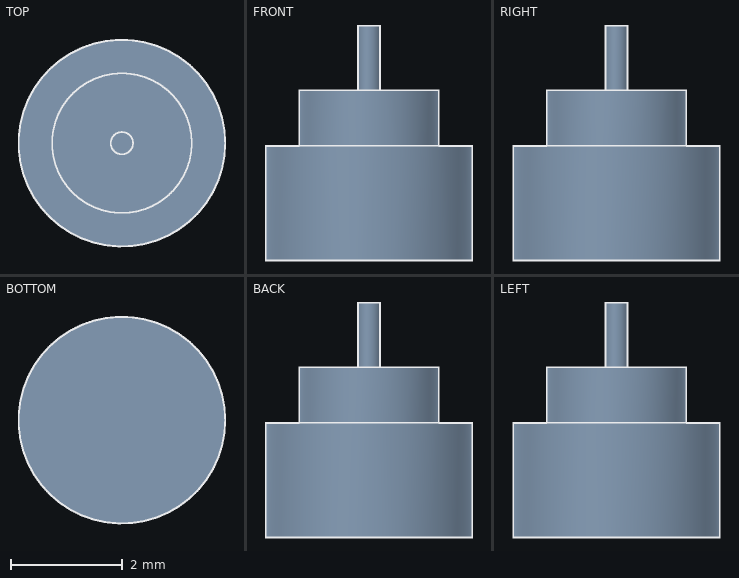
import cadquery as cq

total_height = 4.2
base_diameter = 3.7
base_height = 2.05
collar_diameter = 2.5
collar_height = 1.0
pin_diameter = 0.4
pin_height = total_height - base_height - collar_height


def add_cylinder_on_top(body, diameter, height):
    """Stack a coaxial cylinder on the top face of the body."""
    return body.faces(">Z").workplane().circle(diameter / 2).extrude(height)


base = cq.Workplane("XY").circle(base_diameter / 2).extrude(base_height)

body_with_collar = add_cylinder_on_top(base, collar_diameter, collar_height)
result = add_cylinder_on_top(body_with_collar, pin_diameter, pin_height)